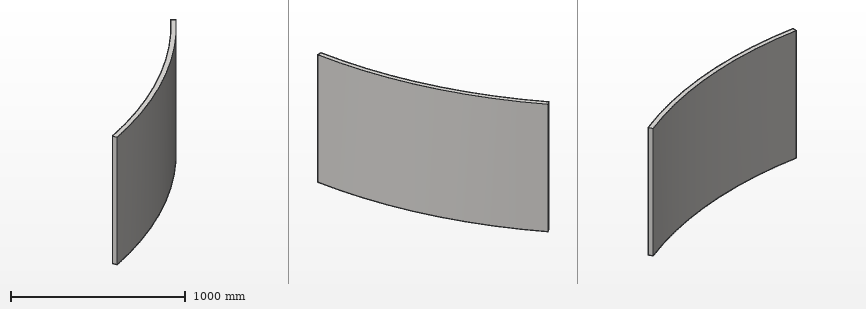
import cadquery as cq
import math

HEIGHT = 830.0
INNER_RADIUS = 2760.0
THICKNESS = 31.25
START_ANGLE = 21.0
SWEEP_ANGLE = 30.0

OUTER_RADIUS = INNER_RADIUS + THICKNESS
END_ANGLE = START_ANGLE + SWEEP_ANGLE
MIDDLE_ANGLE = (START_ANGLE + END_ANGLE) / 2


def arc_point(radius, angle):
    """Point at the given radius and angle around the cylinder axis."""
    angle_radians = math.radians(angle)
    return (radius * math.cos(angle_radians), radius * math.sin(angle_radians))


def curved_panel():
    """Upright panel whose plan is a ring segment with radial ends."""
    return (
        cq.Workplane("XY")
        .moveTo(*arc_point(OUTER_RADIUS, START_ANGLE))
        .threePointArc(arc_point(OUTER_RADIUS, MIDDLE_ANGLE), arc_point(OUTER_RADIUS, END_ANGLE))
        .lineTo(*arc_point(INNER_RADIUS, END_ANGLE))
        .threePointArc(arc_point(INNER_RADIUS, MIDDLE_ANGLE), arc_point(INNER_RADIUS, START_ANGLE))
        .close()
        .extrude(HEIGHT)
    )


result = curved_panel()